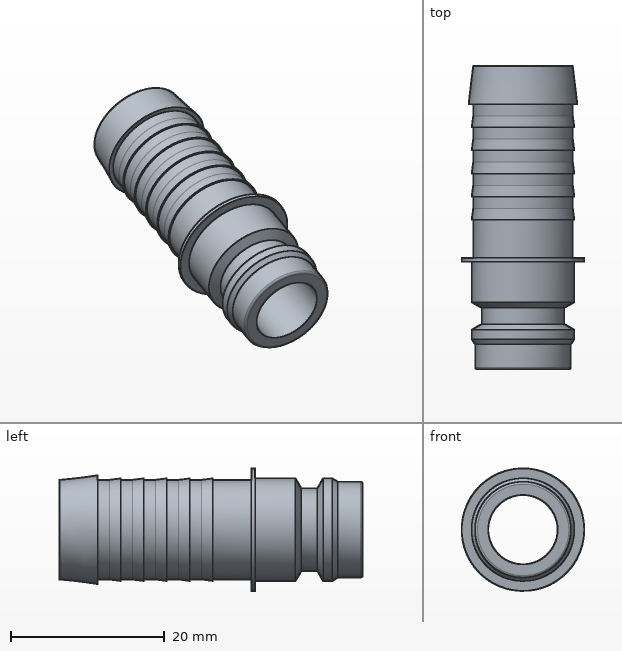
import cadquery as cq


bore_radius = 4.5
hose_length = 25.0
plug_length = 14.5

flange_radius = 8.0
flange_thickness = 0.5
plug_radius = 6.7
plug_shoulder_y = -5.75
groove_radius = 5.4
groove_taper_length = 0.75
groove_floor_length = 2.1
land_length = 1.2
tip_radius = 6.25
tip_taper_length = 0.7
tip_round = 0.3

stem_radius = 6.5
rib_radius = 6.7
rib_length = 1.5
rib_pitch = 3.0
rib_count = 5
first_rib_y = 5.0
barb_length = 5.0
barb_radius = 7.1

tip_y = -plug_length
barb_start_y = hose_length - barb_length
groove_front_y = plug_shoulder_y - groove_taper_length - groove_floor_length
land_back_y = groove_front_y - groove_taper_length
land_front_y = land_back_y - land_length


def revolve_about_y(profile):
    """Turn a closed (radius, Y) outline into a solid of revolution about Y."""
    return profile.close().revolve(360, (0, 0, 0), (0, 1, 0))


def plug_end():
    """Tip, land, locking groove, plug body and flange."""
    return revolve_about_y(
        cq.Workplane("XY")
        .moveTo(0, tip_y)
        .lineTo(tip_radius - tip_round, tip_y)
        .radiusArc((tip_radius, tip_y + tip_round), -tip_round)
        .lineTo(tip_radius, land_front_y - tip_taper_length)
        .lineTo(plug_radius, land_front_y)
        .lineTo(plug_radius, land_back_y)
        .lineTo(groove_radius, groove_front_y)
        .lineTo(groove_radius, plug_shoulder_y - groove_taper_length)
        .lineTo(plug_radius, plug_shoulder_y)
        .lineTo(plug_radius, -flange_thickness)
        .lineTo(flange_radius, -flange_thickness)
        .lineTo(flange_radius, 0)
        .lineTo(0, 0)
    )


def stem():
    """Plain cylinder that carries the ribs, up to the end barb."""
    return revolve_about_y(
        cq.Workplane("XY")
        .lineTo(stem_radius, 0)
        .lineTo(stem_radius, barb_start_y)
        .lineTo(0, barb_start_y)
    )


def rib(start_y):
    """Sawtooth ring, highest at start_y and running out to the stem towards +Y."""
    return revolve_about_y(
        cq.Workplane("XY")
        .moveTo(0, start_y)
        .lineTo(rib_radius, start_y)
        .lineTo(stem_radius, start_y + rib_length)
        .lineTo(0, start_y + rib_length)
    )


def end_barb():
    """Large barb at the hose end, a cone that narrows to the stem radius towards +Y."""
    return revolve_about_y(
        cq.Workplane("XY")
        .moveTo(0, barb_start_y)
        .lineTo(barb_radius, barb_start_y)
        .lineTo(stem_radius, hose_length)
        .lineTo(0, hose_length)
    )


def bore():
    """Straight bore through the full length."""
    return revolve_about_y(
        cq.Workplane("XY")
        .moveTo(0, tip_y)
        .lineTo(bore_radius, tip_y)
        .lineTo(bore_radius, hose_length)
        .lineTo(0, hose_length)
    )


nipple = plug_end().union(stem()).union(end_barb())
for index in range(rib_count):
    nipple = nipple.union(rib(first_rib_y + index * rib_pitch))

result = nipple.cut(bore())